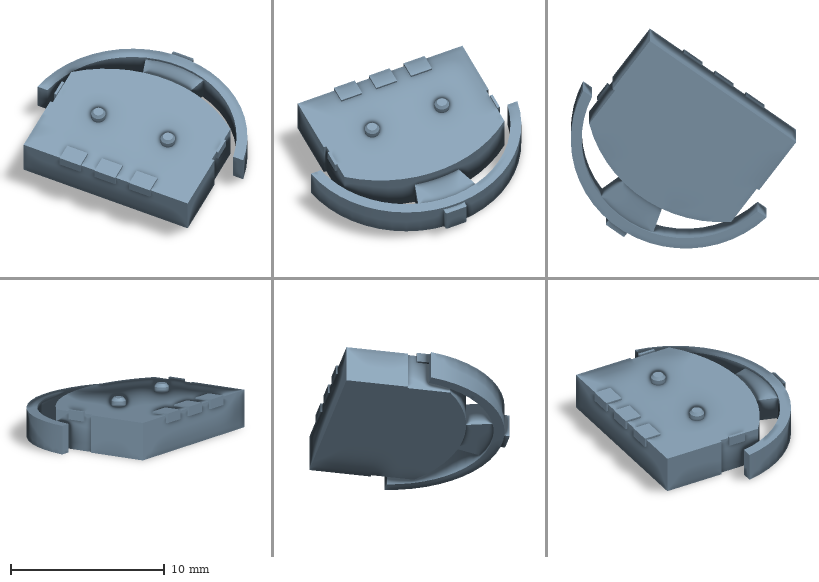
import cadquery as cq
import math


body_height = 2.5
body_half_width = 5.91
waist_half_width = 5.73
body_front_y = -4.22
shoulder_y = -0.12
body_corner_y = 2.73
body_crown_y = 4.8

lever_height = 1.91
lever_half_span = 7.4
lever_end_y = 1.11
lever_center_y = shoulder_y
lever_thickness = 0.71
lever_outer_radius = math.hypot(lever_half_span, lever_end_y - lever_center_y)
lever_inner_radius = lever_outer_radius - lever_thickness
neck_bottom_z = 0.18
neck_top_z = 1.73
neck_inner_half_width = 1.57
neck_inner_y = 4.65
neck_outer_half_width = 2.07
neck_outer_y = 6.31
nub_tip_y = 7.75
nub_edge_chamfer = 0.06

sheet_thickness = 0.13
terminal_pitch = 2.5
terminal_width = 1.5
terminal_length = 1.17
terminal_bottom_z = 2.0
terminal_top_z = body_height + sheet_thickness
terminal_front_y = body_front_y - sheet_thickness
clip_front_y = 0.47
clip_inner_x = waist_half_width

pin_diameter = 0.95
pin_top_z = 3.05
pin_chamfer_height = 0.19
pin_chamfer_width = 0.15


def box(x_min, x_max, y_min, y_max, z_min, z_max):
    """Axis-aligned block between the given limits."""
    size = (x_max - x_min, y_max - y_min, z_max - z_min)
    return cq.Workplane("XY").box(*size, centered=False).translate((x_min, y_min, z_min))


def make_body():
    """Housing with a stepped waist and an arched back."""
    return (
        cq.Workplane("XY")
        .moveTo(-body_half_width, body_front_y)
        .lineTo(body_half_width, body_front_y)
        .lineTo(body_half_width, shoulder_y)
        .lineTo(waist_half_width, shoulder_y)
        .lineTo(waist_half_width, body_corner_y)
        .threePointArc((0, body_crown_y), (-waist_half_width, body_corner_y))
        .lineTo(-waist_half_width, shoulder_y)
        .lineTo(-body_half_width, shoulder_y)
        .close()
        .extrude(body_height)
    )


def make_lever():
    """Concentric arc band, cut off square to Y at both ends."""
    inner_half_span = math.sqrt(lever_inner_radius**2 - (lever_end_y - lever_center_y) ** 2)
    return (
        cq.Workplane("XY")
        .moveTo(-lever_half_span, lever_end_y)
        .threePointArc((0, lever_center_y + lever_outer_radius), (lever_half_span, lever_end_y))
        .lineTo(inner_half_span, lever_end_y)
        .threePointArc((0, lever_center_y + lever_inner_radius), (-inner_half_span, lever_end_y))
        .close()
        .extrude(lever_height)
    )


def make_neck():
    """Flared neck joining the lever to the body, run into both."""
    overlap = 0.52
    flare = (neck_outer_half_width - neck_inner_half_width) / (neck_outer_y - neck_inner_y)
    inner_x = neck_inner_half_width - flare * overlap
    outer_x = neck_outer_half_width + flare * overlap
    inner_y = neck_inner_y - overlap
    outer_y = neck_outer_y + overlap
    return (
        cq.Workplane("XY", origin=(0, 0, neck_bottom_z))
        .polyline([(-inner_x, inner_y), (inner_x, inner_y), (outer_x, outer_y), (-outer_x, outer_y)])
        .close()
        .extrude(neck_top_z - neck_bottom_z)
    )


def make_nub():
    """Small block on the crown of the lever, with its outer upright edges chamfered."""
    half_width = terminal_width / 2
    root_y = lever_center_y + (lever_inner_radius + lever_outer_radius) / 2
    nub = box(-half_width, half_width, root_y, nub_tip_y, neck_bottom_z, neck_top_z)
    return nub.faces(">Y").edges("|Z").chamfer(nub_edge_chamfer)


def make_terminal(center_x):
    """Strip lying on the body top and folded down over its front face."""
    x_min = center_x - terminal_width / 2
    x_max = center_x + terminal_width / 2
    back_y = terminal_front_y + terminal_length
    return box(x_min, x_max, terminal_front_y, back_y, terminal_bottom_z, terminal_top_z)


def make_clip():
    """Clip on the +X side of the waist."""
    back_y = clip_front_y + terminal_length
    return box(clip_inner_x, body_half_width, clip_front_y, back_y, terminal_bottom_z, terminal_top_z)


def make_pin(center_x):
    """Locating pin with a chamfered tip."""
    pin = cq.Workplane("XY").circle(pin_diameter / 2).extrude(pin_top_z)
    pin = pin.faces(">Z").chamfer(pin_chamfer_height, pin_chamfer_width)
    return pin.translate((center_x, 0, 0))


result = make_body().union(make_lever()).union(make_neck()).union(make_nub())

for position in (-1, 0, 1):
    result = result.union(make_terminal(position * terminal_pitch))

clip = make_clip()
result = result.union(clip).union(clip.mirror("YZ"))

for side in (-1, 1):
    result = result.union(make_pin(side * terminal_pitch))